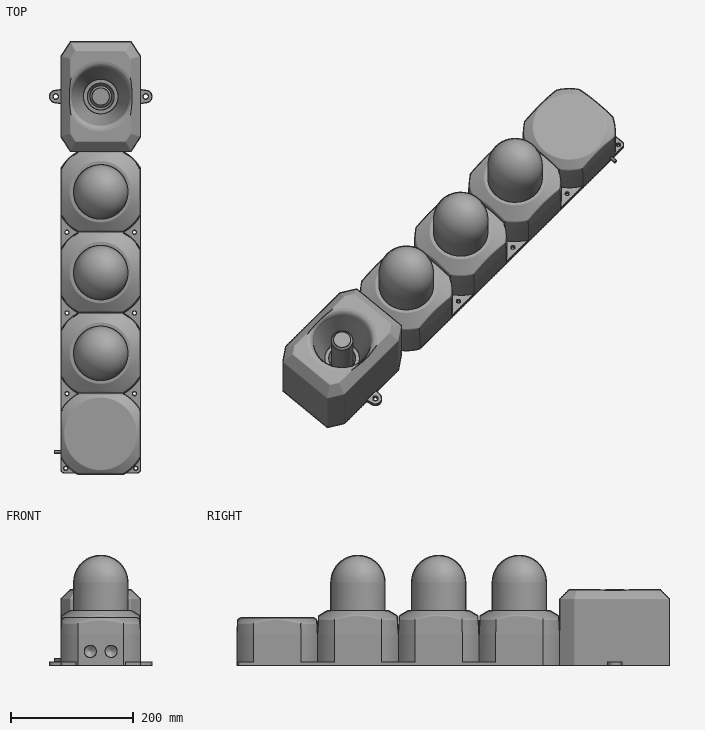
import cadquery as cq
import math


total_length = 705.5
total_width = 167.0
body_width = 130.0
horn_length = 179.0
module_count = 4
module_pitch = (total_length - horn_length) / module_count
edge_rounding = 2.0

horn_height = 124.0
horn_bevel = 15.5
horn_corner_x = 15.5
horn_corner_y = 24.0
horn_y = total_length - horn_length / 2

rim_radius = 57.0
rim_rounding = 10.5
throat_radius = 28.0
mouth_depth = 70.5
groove_radius = 22.0
groove_depth = 14.0
post_radius = 17.5
post_bevel = 3.5

lug_thickness = 6.0
lug_hole_x = 73.5
lug_hole_diameter = 8.5
lug_tip_x = total_width / 2
lug_root_half_width = 12.0

corner_radius = 75.5
base_height = 51.0
cover_draft = 3.0
cover_rounding = 3.0
lamp_top = 89.5
lamp_shoulder = 75.0
lamp_flat_radius = 50.0
box_top = 78.0
box_shoulder = 68.5
box_flat_radius = 59.0

dome_radius = 44.5
dome_top = 180.0

plate_thickness = 6.0
plate_end_gap = 2.0
plate_corner_radius = 5.5
plate_hole_diameter = 6.0
plate_hole_x = 55.0
end_hole_x = 57.0
end_hole_y = 10.0

entry_diameter = 20.0
entry_x = 17.0
entry_z = 23.0
entry_depth = 14.0
drill_point_angle = 118.0
pin_diameter = 5.0
pin_tip_x = 75.5
pin_y = 37.0
pin_z = 9.0


def module_center(index):
    """Y of a module's axis, counted from the terminal box."""
    return (index + 0.5) * module_pitch


def module_outline(z):
    """Rectangle whose corners are cut off by a circle about its centre."""
    half_x = body_width / 2
    half_y = module_pitch / 2
    side_y = math.sqrt(corner_radius**2 - half_x**2)
    end_x = math.sqrt(corner_radius**2 - half_y**2)
    diagonal = corner_radius / math.sqrt(2)
    return (
        cq.Workplane("XY", origin=(0, 0, z))
        .moveTo(half_x, -side_y)
        .lineTo(half_x, side_y)
        .threePointArc((diagonal, diagonal), (end_x, half_y))
        .lineTo(-end_x, half_y)
        .threePointArc((-diagonal, diagonal), (-half_x, side_y))
        .lineTo(-half_x, -side_y)
        .threePointArc((-diagonal, -diagonal), (-end_x, -half_y))
        .lineTo(end_x, -half_y)
        .threePointArc((diagonal, -diagonal), (half_x, -side_y))
        .close()
    )


def make_housing(top, shoulder, flat_radius):
    """Straight base with a drafted cover whose top is turned to a cone."""
    base = module_outline(0).extrude(base_height)
    cover = module_outline(base_height).extrude(top - base_height, taper=cover_draft)
    turned_blank = (
        cq.Workplane("XZ")
        .polyline([(0, 0), (corner_radius, 0), (corner_radius, shoulder), (flat_radius, top), (0, top)])
        .close()
        .revolve(360, (0, 0), (0, 1))
    )
    cover = cover.intersect(turned_blank)
    cover = cover.faces("not >Z").faces(">Z").edges("not %LINE").fillet(cover_rounding)
    return base.union(cover)


def make_dome():
    spring_height = dome_top - dome_radius
    diagonal = dome_radius / math.sqrt(2)
    return (
        cq.Workplane("XZ")
        .moveTo(0, base_height)
        .lineTo(dome_radius, base_height)
        .lineTo(dome_radius, spring_height)
        .threePointArc((diagonal, spring_height + diagonal), (0, dome_top))
        .close()
        .revolve(360, (0, 0), (0, 1))
    )


def make_horn():
    half_x = body_width / 2
    half_y = horn_length / 2
    flat_x = half_x - horn_corner_x
    flat_y = half_y - horn_corner_y
    outline = [
        (half_x, -flat_y),
        (half_x, flat_y),
        (flat_x, half_y),
        (-flat_x, half_y),
        (-half_x, flat_y),
        (-half_x, -flat_y),
        (-flat_x, -half_y),
        (flat_x, -half_y),
    ]
    body = cq.Workplane("XY").polyline(outline).close().extrude(horn_height)
    body = body.faces(">Z").chamfer(horn_bevel).edges("not <Z").fillet(edge_rounding)

    groove_floor = horn_height - mouth_depth - groove_depth
    wall_radius = rim_radius - rim_rounding
    arc_reach = rim_rounding / math.sqrt(2)
    mouth = (
        cq.Workplane("XZ")
        .moveTo(0, horn_height)
        .lineTo(rim_radius, horn_height)
        .threePointArc(
            (rim_radius - arc_reach, horn_height - rim_rounding + arc_reach),
            (wall_radius, horn_height - rim_rounding),
        )
        .lineTo(throat_radius, horn_height - mouth_depth)
        .lineTo(groove_radius, horn_height - mouth_depth)
        .lineTo(post_radius, groove_floor)
        .lineTo(0, groove_floor)
        .close()
        .revolve(360, (0, 0), (0, 1))
    )
    post = (
        cq.Workplane("XY", origin=(0, 0, groove_floor))
        .circle(post_radius)
        .extrude(horn_height - groove_floor)
        .faces(">Z")
        .chamfer(post_bevel)
    )
    return body.cut(mouth).union(post).union(make_lugs())


def make_lugs():
    """Rounded ears with a screw hole on both sides of the horn."""
    root_x = body_width / 2 - edge_rounding
    tip_radius = lug_tip_x - lug_hole_x
    lugs = cq.Workplane("XY")
    for side in (-1, 1):
        ear = (
            cq.Workplane("XY")
            .moveTo(side * root_x, -lug_root_half_width)
            .lineTo(side * lug_hole_x, -tip_radius)
            .threePointArc((side * lug_tip_x, 0), (side * lug_hole_x, tip_radius))
            .lineTo(side * root_x, lug_root_half_width)
            .close()
            .extrude(lug_thickness)
        )
        hole = cq.Workplane("XY").center(side * lug_hole_x, 0).circle(lug_hole_diameter / 2)
        lugs = lugs.add(ear.cut(hole.extrude(lug_thickness)))
    return lugs.combine()


def make_plate():
    """Plate under the modules, ending beneath the lamp next to the horn."""
    length = module_center(module_count - 1) - plate_end_gap
    return (
        cq.Workplane("XY")
        .box(body_width, length, plate_thickness, centered=(True, False, False))
        .translate((0, plate_end_gap, 0))
        .edges("|Z and <Y")
        .fillet(plate_corner_radius)
    )


def plate_holes():
    spots = [(side * end_hole_x, end_hole_y) for side in (-1, 1)]
    for joint in range(1, module_count):
        spots += [(side * plate_hole_x, joint * module_pitch) for side in (-1, 1)]
    return cq.Workplane("XY").pushPoints(spots).circle(plate_hole_diameter / 2).extrude(plate_thickness)


def cable_entry(x):
    """Drilled hole with a conical bottom, entering from the free end."""
    radius = entry_diameter / 2
    point_length = radius / math.tan(math.radians(drill_point_angle / 2))
    return (
        cq.Workplane("XY")
        .polyline([(0, 0), (radius, 0), (radius, entry_depth), (0, entry_depth + point_length)])
        .close()
        .revolve(360, (0, 0), (0, 1))
        .translate((x, 0, entry_z))
    )


def side_pin():
    return (
        cq.Workplane("YZ", origin=(-pin_tip_x, pin_y, pin_z))
        .circle(pin_diameter / 2)
        .extrude(pin_tip_x - body_width / 2 + edge_rounding)
    )


result = make_plate()
terminal_box = make_housing(box_top, box_shoulder, box_flat_radius)
result = result.union(terminal_box.translate((0, module_center(0), 0)))
result = result.union(side_pin())
for side in (-1, 1):
    result = result.cut(cable_entry(side * entry_x))

lamp = make_housing(lamp_top, lamp_shoulder, lamp_flat_radius).union(make_dome())
for index in range(1, module_count):
    result = result.union(lamp.translate((0, module_center(index), 0)))

result = result.union(make_horn().translate((0, horn_y, 0)))
result = result.cut(plate_holes())